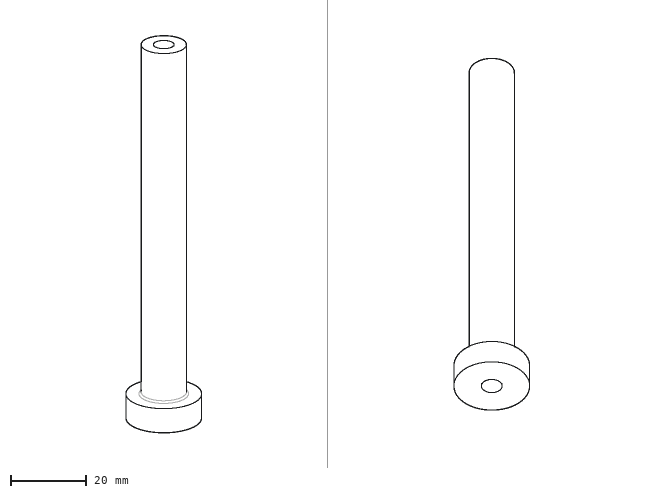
import cadquery as cq

total_length = 107.0
head_diameter = 20.0
head_height = 7.0
shaft_diameter = 12.0
bore_diameter = 5.5
neck_fillet = 0.5

head_radius = head_diameter / 2
shaft_radius = shaft_diameter / 2
bore_radius = bore_diameter / 2

half_section = (
    cq.Workplane("XZ")
    .moveTo(bore_radius, 0)
    .lineTo(head_radius, 0)
    .lineTo(head_radius, head_height)
    .lineTo(shaft_radius + neck_fillet, head_height)
    .radiusArc((shaft_radius, head_height + neck_fillet), neck_fillet)
    .lineTo(shaft_radius, total_length)
    .lineTo(bore_radius, total_length)
    .close()
)

result = half_section.revolve(360, (0, 0, 0), (0, 1, 0))